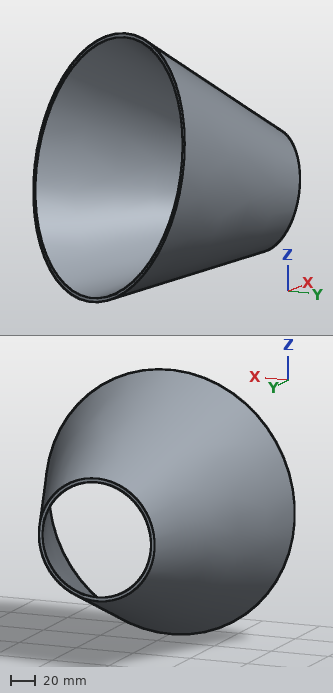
import cadquery as cq

length = 152.0
wide_outer_diameter = 219.0
narrow_outer_diameter = 101.7
radial_wall = 3.3

wide_outer_radius = wide_outer_diameter / 2
narrow_outer_radius = narrow_outer_diameter / 2

wall_section = (
    cq.Workplane("XY")
    .moveTo(wide_outer_radius - radial_wall, 0)
    .lineTo(wide_outer_radius, 0)
    .lineTo(narrow_outer_radius, length)
    .lineTo(narrow_outer_radius - radial_wall, length)
    .close()
)

result = wall_section.revolve(360, (0, 0, 0), (0, 1, 0))